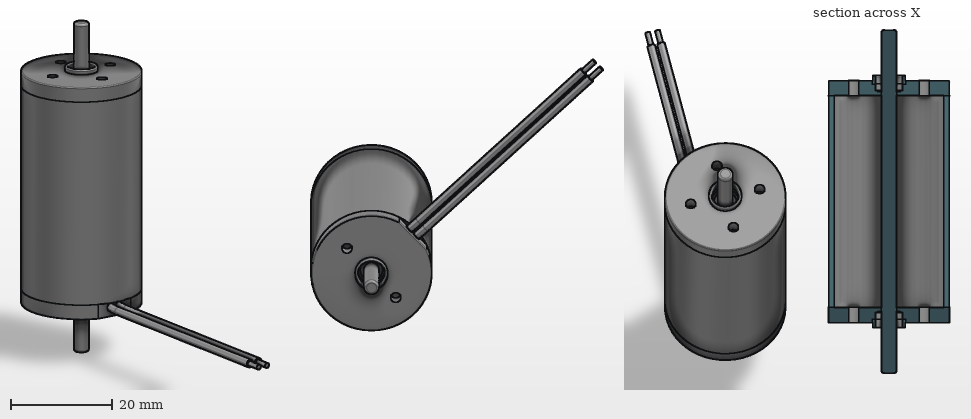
import cadquery as cq
import math

case_diameter = 24.0
case_length = 48.0
can_wall = 1.2
cap_thickness = 3.0
cap_edge_fillet = 0.2
overall_length = 68.0
overall_reach = 73.8

shaft_diameter = 3.0
shaft_end_fillet = 0.5

collar_diameter = 6.5
collar_projection = 1.0
collar_seat_depth = 0.7
collar_rim_fillet = 0.29

bearing_bore_diameter = 5.3
bearing_recess_depth = 2.0
inner_recess_diameter = 4.4
inner_recess_depth = 2.2

mount_hole_diameter = 2.0
mount_hole_radius = 7.0

flat_depth = 0.7

wire_diameter = 1.6
wire_spacing = 2.0
wire_height = 1.8
wire_bend_end_x = 13.8
wire_bend_radius = 16.2
wire_seat_depth = 0.4
conductor_diameter = 1.0
conductor_length = 3.0

case_radius = case_diameter / 2
rear_z = -case_length / 2
front_z = case_length / 2
flat_x = case_radius - flat_depth
wire_tip_x = overall_reach - case_radius
wire_z = rear_z + wire_height


def cylinder_z(diameter, bottom_z, length):
    return cq.Workplane("XY", origin=(0, 0, bottom_z)).circle(diameter / 2).extrude(length)


def mount_holes(first_angle, count):
    """Cutters for evenly spaced holes through a cap at either end of the case."""
    return (
        cq.Workplane("XY", origin=(0, 0, rear_z))
        .polarArray(mount_hole_radius, first_angle, 360, count)
        .circle(mount_hole_diameter / 2)
        .extrude(case_length)
    )


def bearing_recess():
    """Cutter for the collar seat, stepped recess and shaft hole in the front cap."""
    seat = cylinder_z(collar_diameter, front_z - collar_seat_depth, collar_seat_depth)
    recess = cylinder_z(bearing_bore_diameter, front_z - bearing_recess_depth, bearing_recess_depth)
    inner_recess = cylinder_z(inner_recess_diameter, front_z - inner_recess_depth, inner_recess_depth)
    shaft_hole = cylinder_z(shaft_diameter, front_z - cap_thickness, cap_thickness)
    return seat.union(recess).union(inner_recess).union(shaft_hole)


def make_can():
    """Plain tube between the two caps."""
    return (
        cq.Workplane("XY", origin=(0, 0, rear_z + cap_thickness))
        .circle(case_radius)
        .circle(case_radius - can_wall)
        .extrude(case_length - 2 * cap_thickness)
    )


def make_front_cap():
    """Upper cap with four mounting holes."""
    cap = cylinder_z(case_diameter, front_z - cap_thickness, cap_thickness)
    cap = cap.faces(">Z").edges().fillet(cap_edge_fillet)
    return cap.cut(mount_holes(0, 4)).cut(bearing_recess())


def make_rear_cap(wires):
    """Lower cap with a flat on the wire side, two mounting holes and a seat for each wire."""
    cap = cylinder_z(case_diameter, rear_z, cap_thickness)
    beyond_flat = cq.Workplane("XY", origin=(flat_x, 0, 0)).box(
        flat_depth, case_diameter, case_length, centered=(False, True, True)
    )
    cap = cap.cut(beyond_flat)
    cap = cap.faces("<Z").edges().fillet(cap_edge_fillet)
    cap = cap.cut(mount_holes(90, 2)).cut(bearing_recess().mirror("XY"))
    for wire in wires:
        cap = cap.cut(wire)
    return cap


def make_collar():
    """Ring around the shaft, seated in the front cap, with its projecting rim rounded in and out."""
    thickness = collar_seat_depth + collar_projection
    collar = cylinder_z(collar_diameter, front_z - collar_seat_depth, thickness)
    collar = collar.cut(cylinder_z(bearing_bore_diameter, front_z - collar_seat_depth, thickness))
    return collar.faces(">Z").edges().fillet(collar_rim_fillet)


def make_shaft():
    """Straight shaft through both caps, rounded at each end."""
    shaft = cylinder_z(shaft_diameter, -overall_length / 2, overall_length)
    return shaft.faces("<Z or >Z").edges().fillet(shaft_end_fillet)


def make_wire(y):
    """Insulated wire that bends up slightly into the rear cap, with a bare conductor at its tip."""
    seat_x = flat_x - wire_seat_depth
    bend_angle = math.asin((wire_bend_end_x - seat_x) / wire_bend_radius)

    def bend_point(angle):
        x = wire_bend_end_x - wire_bend_radius * math.sin(angle)
        return (x, wire_z + wire_bend_radius * (1 - math.cos(angle)))

    insulation_end_x = wire_tip_x - conductor_length
    path = (
        cq.Workplane("XZ", origin=(0, y, 0))
        .moveTo(insulation_end_x, wire_z)
        .lineTo(wire_bend_end_x, wire_z)
        .threePointArc(bend_point(bend_angle / 2), bend_point(bend_angle))
    )
    end_plane = cq.Workplane("YZ", origin=(insulation_end_x, y, wire_z))
    insulation = end_plane.circle(wire_diameter / 2).sweep(path)
    conductor = end_plane.circle(conductor_diameter / 2).extrude(conductor_length)
    return insulation.union(conductor)


wires = [make_wire(side * wire_spacing / 2) for side in (-1, 1)]
can = make_can()
front_cap = make_front_cap()
rear_cap = make_rear_cap(wires)
front_collar = make_collar()
rear_collar = front_collar.mirror("XY")
shaft = make_shaft()

bodies = [can, front_cap, rear_cap, front_collar, rear_collar, shaft, *wires]
result = cq.Compound.makeCompound([body.solids().val() for body in bodies])